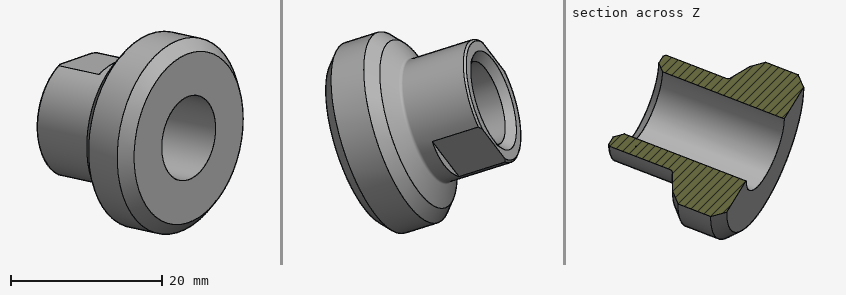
import cadquery as cq
import math

total_length = 19.0
hub_end = 9.15
root_end = 9.58
rim_chamfer = 1.58
rim_width = 4.8
rim_back = total_length - rim_chamfer
rim_front = rim_back - rim_width
shoulder = rim_front - rim_chamfer

rim_radius = 26.4 / 2
shoulder_radius = rim_radius - rim_chamfer
hub_radius = 17.0 / 2
root_radius = 8.76
bore_radius = 11.45 / 2

hub_chamfer = 0.3
countersink_radius = 6.85
countersink_depth = 1.1

flat_height = 7.5
flat_length = 7.05
flat_end_run = 0.2


def revolved_body():
    """Hub, flared shoulder and chamfered rim around the X axis, with the countersunk bore."""
    run = root_end - hub_end
    rise = root_radius - hub_radius
    fillet_radius = (run**2 + rise**2) / (2 * rise)
    half_sweep = math.atan2(rise, run)
    root_middle = (
        hub_end + fillet_radius * math.sin(half_sweep),
        hub_radius + fillet_radius * (1 - math.cos(half_sweep)),
    )
    return (
        cq.Workplane("XY")
        .moveTo(0, countersink_radius)
        .lineTo(0, hub_radius - hub_chamfer)
        .lineTo(hub_chamfer, hub_radius)
        .lineTo(hub_end, hub_radius)
        .threePointArc(root_middle, (root_end, root_radius))
        .lineTo(shoulder, shoulder_radius)
        .lineTo(rim_front, rim_radius)
        .lineTo(rim_back, rim_radius)
        .lineTo(total_length, rim_radius - rim_chamfer)
        .lineTo(total_length, bore_radius)
        .lineTo(countersink_depth, bore_radius)
        .close()
        .revolve(360, (0, 0, 0), (1, 0, 0))
    )


def flat_cutter():
    """Material above the upper flat, with a sloping wall at its inner end."""
    return (
        cq.Workplane("XZ")
        .moveTo(0, flat_height)
        .lineTo(flat_length, flat_height)
        .lineTo(flat_length + flat_end_run, hub_radius)
        .lineTo(0, hub_radius)
        .close()
        .extrude(hub_radius, both=True)
    )


upper_flat = flat_cutter()
lower_flat = upper_flat.mirror("XY")
result = revolved_body().cut(upper_flat).cut(lower_flat)